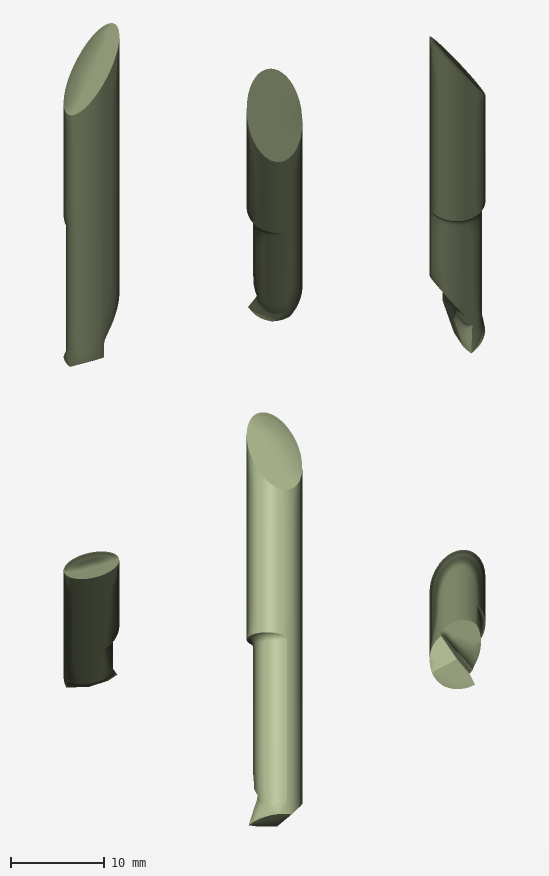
import cadquery as cq
import math

LENGTH = 47.45
RADIUS = 3.0
SLANT_ANGLE = 30.0

NECK_SHIFT = 0.7
NECK_TOP = 20.35
NECK_BOTTOM = 2.25
SHOULDER_RADIUS = 0.8
FLARE_RADIUS = 4.0
FLARE_DROP = 2.85

FLAT_Y = 0.25
RELIEF_TOP = 10.1
RELIEF_BLEND = 2.85

GROOVE_TOP = 4.3
GROOVE_BOTTOM_Z = 3.3
GROOVE_DEEP_Y = -0.65
EDGE_Y = -0.07
FLOOR_TILT_X = 0.28
FLOOR_TILT_Z = 0.26

END_RISE_X = 0.1
END_RISE_Y = 0.16
CORNER_X = 0.45
CORNER_Z = 0.355

FLANK_X = 1.38
FLANK_Y = 0.85
FLANK_TAPER = 0.21
FLANK_HEIGHT = 4.75

SPLIT_X = NECK_SHIFT / 2
MARGIN = 2 * RADIUS
SLANT = math.tan(math.radians(SLANT_ANGLE))

tip_point = (-RADIUS, EDGE_Y, 0)


def box(x_min, x_max, y_min, y_max, z_min, z_max):
    size = (x_max - x_min, y_max - y_min, z_max - z_min)
    return cq.Workplane("XY").box(*size, centered=False).translate((x_min, y_min, z_min))


def side_prism(points, x_min, x_max):
    """Extrude a closed (Y, Z) outline along X."""
    return cq.Workplane("YZ", origin=(x_min, 0, 0)).polyline(points).close().extrude(x_max - x_min)


def half_space(point, normal):
    """Block of material lying beyond a plane, on the side its normal points to."""
    plane = cq.Plane(origin=point, normal=normal)
    return cq.Workplane(plane).rect(4 * MARGIN, 4 * MARGIN).extrude(MARGIN)


def slanted_rod():
    rod = cq.Workplane("XY").circle(RADIUS).extrude(LENGTH)
    low_z = LENGTH - 2 * RADIUS / SLANT
    above_z = LENGTH + MARGIN
    outside = side_prism(
        [(RADIUS, LENGTH), (-RADIUS, low_z), (-MARGIN, low_z), (-MARGIN, above_z), (RADIUS, above_z)],
        -MARGIN, MARGIN,
    )
    return rod.cut(outside)


def neck_ring():
    """Ring around the shifted neck axis with a shoulder fillet above and a flare below."""
    diagonal = math.sqrt(0.5)
    shoulder_r = RADIUS + SHOULDER_RADIUS
    shoulder_z = NECK_TOP + SHOULDER_RADIUS
    shoulder_mid = (shoulder_r - SHOULDER_RADIUS * diagonal, NECK_TOP + SHOULDER_RADIUS * diagonal)

    def flare_point(drop):
        return (RADIUS + FLARE_RADIUS - math.sqrt(FLARE_RADIUS**2 - drop**2), NECK_BOTTOM - drop)

    return (
        cq.Workplane("XZ")
        .moveTo(RADIUS, NECK_BOTTOM)
        .lineTo(RADIUS, NECK_TOP)
        .threePointArc(shoulder_mid, (shoulder_r, shoulder_z))
        .lineTo(MARGIN, shoulder_z)
        .lineTo(MARGIN, NECK_BOTTOM - FLARE_DROP)
        .lineTo(*flare_point(FLARE_DROP))
        .threePointArc(flare_point(FLARE_DROP / 2), (RADIUS, NECK_BOTTOM))
        .close()
        .revolve(360, (0, 0), (0, 1))
        .translate((NECK_SHIFT, 0, 0))
    )


def back_relief():
    slope_bottom = RELIEF_TOP - (RADIUS - FLAT_Y) / SLANT
    outer_z = RELIEF_TOP + (MARGIN - RADIUS) / SLANT
    relief = side_prism(
        [(FLAT_Y, -MARGIN), (FLAT_Y, slope_bottom), (MARGIN, outer_z), (MARGIN, -MARGIN)], -MARGIN, MARGIN
    )
    bend = cq.selectors.NearestToPointSelector((0, FLAT_Y, slope_bottom))
    return relief.edges(bend).fillet(RELIEF_BLEND)


def flank_cone():
    base_radius = math.hypot(RADIUS + FLANK_X, FLANK_Y - EDGE_Y)
    top_radius = base_radius - FLANK_TAPER * FLANK_HEIGHT
    cone = cq.Solid.makeCone(base_radius, top_radius, FLANK_HEIGHT, pnt=cq.Vector(FLANK_X, FLANK_Y, 0))
    return cq.Workplane(cone)


def chip_groove():
    below_wall = side_prism(
        [(FLAT_Y, GROOVE_TOP), (GROOVE_DEEP_Y, GROOVE_BOTTOM_Z), (-RADIUS, GROOVE_BOTTOM_Z),
         (-RADIUS, -MARGIN), (MARGIN, -MARGIN), (MARGIN, GROOVE_TOP)],
        -MARGIN, SPLIT_X,
    )
    above_floor = half_space(tip_point, (-FLOOR_TILT_X, 1, FLOOR_TILT_Z))
    return below_wall.intersect(above_floor)


def corner_clearance():
    """45 degree cut across the trailing bottom corner."""
    return half_space((CORNER_X, 0, CORNER_Z), (1, 0, -1))


neck_waste = neck_ring().cut(flank_cone())
bar = slanted_rod().cut(neck_waste).cut(back_relief()).cut(chip_groove()).cut(corner_clearance())
bar = bar.cut(half_space(tip_point, (END_RISE_X, -END_RISE_Y, -1)))

tip_zone = box(-MARGIN, SPLIT_X, -MARGIN, MARGIN, -MARGIN, NECK_BOTTOM)
shank = bar.cut(tip_zone)
cutting_tip = bar.intersect(tip_zone)

result = cq.Compound.makeCompound([shank.val(), cutting_tip.val()])